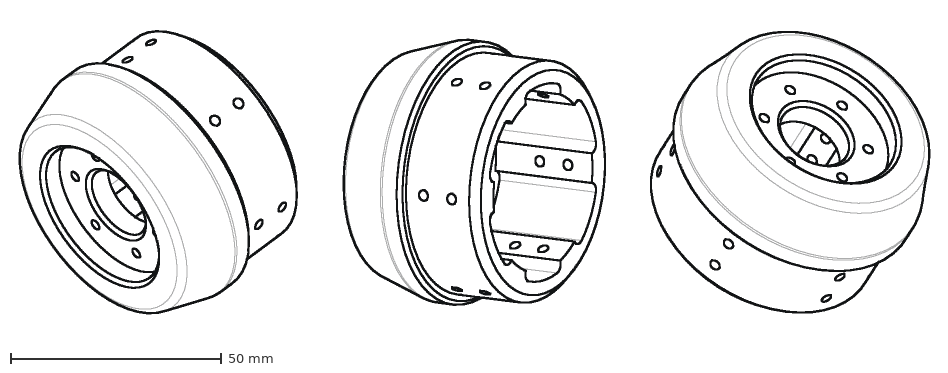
import cadquery as cq
import math


length = 39.5
flange_radius = 31.5
flange_straight = 4.4
flange_chamfer = 1.0
sleeve_radius = 29.0
sleeve_length = 20.0
sleeve_chamfer = 2.0
front_radius = 27.15
cone_fillet = 2.0

recess_radius = 18.7
recess_depth = 5.55
bore_radius = 8.95
opening_chamfer = 1.0
hub_thickness = 6.55

cavity_radius = 23.75
rib_tip_radius = 21.5
rib_width = 7.2
rib_root_fillet = 2.0

hole_count = 6
hole_radius = 1.25
hub_hole_circle_radius = 13.5
sleeve_hole_inset = 7.0
sleeve_hole_spacing = 8.0

hole_pitch = 360 / hole_count
shoulder_y = length - sleeve_length
cone_base_y = shoulder_y - flange_chamfer - flange_straight
cavity_floor_y = recess_depth + hub_thickness
cavity_depth = length - cavity_floor_y
rear_hole_y = length - sleeve_hole_inset
sleeve_hole_places = (rear_hole_y, rear_hole_y - sleeve_hole_spacing)


def turn(profile):
    """Solid of revolution about the Y axis."""
    return profile.close().revolve(360, (0, 0, 0), (0, 1, 0))


def cavity_floor():
    """Workplane on the cavity floor; a negative extrusion from it runs toward +Y."""
    return cq.Workplane("XZ", origin=(0, cavity_floor_y, 0))


def ring_point(radius, angle):
    """Point at a radius and an angle in degrees about the axis."""
    radians = math.radians(angle)
    return (radius * math.cos(radians), radius * math.sin(radians))


def outer_body():
    """Sleeve and flange with a conical front, rounded at both ends of the cone."""
    profile = (
        cq.Workplane("XY")
        .lineTo(front_radius, 0)
        .lineTo(flange_radius, cone_base_y)
        .lineTo(flange_radius, shoulder_y - flange_chamfer)
        .lineTo(flange_radius - flange_chamfer, shoulder_y)
        .lineTo(sleeve_radius, shoulder_y)
        .lineTo(sleeve_radius, length - sleeve_chamfer)
        .lineTo(sleeve_radius - sleeve_chamfer, length)
        .lineTo(0, length)
    )
    cone_base_edge = cq.selectors.NearestToPointSelector((0, cone_base_y, 0))
    body = turn(profile).edges(cone_base_edge).fillet(cone_fillet)
    return body.faces("<Y").edges().fillet(cone_fillet)


def chamfered_opening(radius, face_y, depth):
    """Round cutter going in from a face at face_y, with a 45 degree chamfer at its mouth."""
    profile = (
        cq.Workplane("XY", origin=(0, face_y, 0))
        .lineTo(radius + opening_chamfer, 0)
        .lineTo(radius, opening_chamfer)
        .lineTo(radius, depth)
        .lineTo(0, depth)
    )
    return turn(profile)


def cavity_pocket(start_angle, end_angle):
    """Cutter between two ribs: a sector with a round corner at each rib root."""
    middle_angle = (start_angle + end_angle) / 2
    pocket = (
        cavity_floor()
        .lineTo(*ring_point(cavity_radius, start_angle))
        .threePointArc(
            ring_point(cavity_radius, middle_angle),
            ring_point(cavity_radius, end_angle),
        )
        .close()
        .extrude(-cavity_depth)
    )
    corner_centers = [
        ring_point(cavity_radius - rib_root_fillet, angle) for angle in (start_angle, end_angle)
    ]
    corners = cavity_floor().pushPoints(corner_centers).circle(rib_root_fillet).extrude(-cavity_depth)
    return pocket.union(corners)


def rear_cavity():
    """Cavity cutter: a core reaching the rib tips, plus a pocket between each two ribs."""
    corner_offset = rib_width / 2 + rib_root_fillet
    corner_angle = math.degrees(math.asin(corner_offset / (cavity_radius - rib_root_fillet)))
    cavity = cavity_floor().circle(rib_tip_radius).extrude(-cavity_depth)
    for index in range(hole_count):
        rib_angle = index * hole_pitch
        pocket = cavity_pocket(rib_angle + corner_angle, rib_angle + hole_pitch - corner_angle)
        cavity = cavity.union(pocket)
    return cavity


def hub_holes():
    """Ring of axial hole cutters through the hub."""
    return (
        cq.Workplane("XZ")
        .polarArray(hub_hole_circle_radius, 0, 360, hole_count)
        .circle(hole_radius)
        .extrude(-cavity_floor_y)
    )


def sleeve_hole_pair(angle):
    """Two radial hole cutters from the axis outward, side by side along the sleeve."""
    return (
        cq.Workplane("YZ")
        .pushPoints([(y, 0) for y in sleeve_hole_places])
        .circle(hole_radius)
        .extrude(sleeve_radius)
        .rotate((0, 0, 0), (0, 1, 0), angle)
    )


result = (
    outer_body()
    .cut(chamfered_opening(recess_radius, 0, recess_depth))
    .cut(chamfered_opening(bore_radius, recess_depth, hub_thickness))
    .cut(rear_cavity())
    .cut(hub_holes())
)
for index in range(hole_count):
    result = result.cut(sleeve_hole_pair(index * hole_pitch))